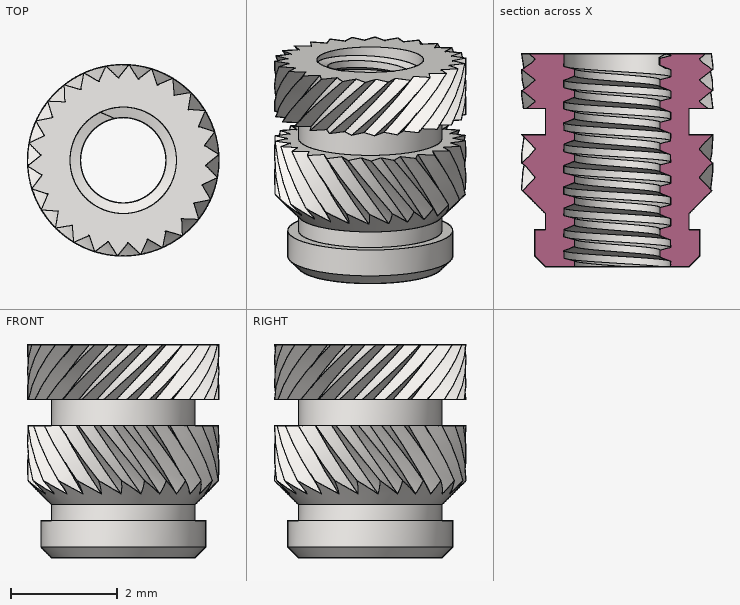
import cadquery as cq
import math

total_height = 4.0
pilot_chamfer = 0.2
pilot_top = 0.7
lower_knurl_bottom = 1.0
lower_knurl_top = 2.48
upper_knurl_bottom = 2.97

knurl_radius = 1.8
knurl_root_radius = 1.55
neck_radius = 1.35
pilot_radius = 1.55

tooth_count = 26
tooth_pitch = 360 / tooth_count
upper_knurl_twist = 36.0
lower_knurl_twist = -38.3
upper_knurl_top_tip_angle = tooth_pitch / 4
lower_knurl_top_tip_angle = tooth_pitch / 2

thread_major_radius = 1.0
thread_minor_radius = 0.8
thread_pitch = 0.4
thread_crest_width = thread_pitch / 3
thread_base_width = 2 * thread_pitch / 3
thread_embed = 0.03
thread_turns = 11

thread_end_gap = 0.005
thread_end_base_angle = 115.6
thread_end_crest_angle = 101.5


def polar(radius, angle):
    """Horizontal vector at an angle in degrees, counterclockwise from +X."""
    return cq.Vector(
        radius * math.cos(math.radians(angle)),
        radius * math.sin(math.radians(angle)),
        0,
    )


def core():
    """Pilot with its chamfered end, and the neck that carries the knurled bands."""
    profile = [
        (0, 0),
        (pilot_radius - pilot_chamfer, 0),
        (pilot_radius, pilot_chamfer),
        (pilot_radius, pilot_top),
        (neck_radius, pilot_top),
        (neck_radius, total_height),
        (0, total_height),
    ]
    return cq.Workplane("XZ").polyline(profile).close().revolve(360, (0, 0), (0, 1))


def knurled_band(bottom, top, twist, top_tip_angle):
    """Star-shaped section of sharp teeth, twisted as it rises."""
    bottom_tip_angle = top_tip_angle - twist
    star = []
    for tooth in range(tooth_count):
        tip_angle = bottom_tip_angle + tooth * tooth_pitch
        star.append(polar(knurl_radius, tip_angle).toTuple()[:2])
        star.append(polar(knurl_root_radius, tip_angle + tooth_pitch / 2).toTuple()[:2])
    section = cq.Workplane("XY").workplane(offset=bottom).polyline(star).close()
    return section.twistExtrude(top - bottom, twist)


def lead_in_cone():
    """45 degree cone, opening upward from the neck, that trims the lower teeth."""
    rise = lower_knurl_top - lower_knurl_bottom
    profile = [
        (0, lower_knurl_bottom),
        (neck_radius, lower_knurl_bottom),
        (neck_radius + rise, lower_knurl_top),
        (0, lower_knurl_top),
    ]
    return cq.Workplane("XZ").polyline(profile).close().revolve(360, (0, 0), (0, 1))


def thread_ridge():
    """Right-hand helical ridge, clipped to the height of the part."""
    ridge_height = thread_turns * thread_pitch
    start_z = total_height - thread_end_gap - thread_base_width / 2 - ridge_height
    base_point = polar(thread_major_radius, thread_end_base_angle)
    crest_point = polar(thread_minor_radius, thread_end_crest_angle)
    outward = base_point - crest_point
    depth = outward.Length
    flank_slope = (thread_base_width - thread_crest_width) / 2 / depth
    half_crest = thread_crest_width / 2
    half_root = thread_base_width / 2 + thread_embed * flank_slope

    end_plane = cq.Plane(
        origin=(crest_point + cq.Vector(0, 0, start_z)).toTuple(),
        xDir=outward.toTuple(),
        normal=outward.cross(cq.Vector(0, 0, 1)).toTuple(),
    )
    helix = cq.Wire.makeHelix(thread_pitch, ridge_height, thread_major_radius)
    helix = helix.rotate(cq.Vector(0, 0, 0), cq.Vector(0, 0, 1), thread_end_base_angle)
    helix = helix.translate(cq.Vector(0, 0, start_z))
    section = [
        (0, -half_crest),
        (depth + thread_embed, -half_root),
        (depth + thread_embed, half_root),
        (0, half_crest),
    ]
    ridge = cq.Workplane(end_plane).polyline(section).close()
    ridge = ridge.sweep(cq.Workplane(helix), isFrenet=True)
    envelope = cq.Workplane("XY").circle(knurl_radius).extrude(total_height)
    return ridge.intersect(envelope)


upper_band = knurled_band(
    upper_knurl_bottom, total_height, upper_knurl_twist, upper_knurl_top_tip_angle
)
lower_band = knurled_band(
    lower_knurl_bottom, lower_knurl_top, lower_knurl_twist, lower_knurl_top_tip_angle
).intersect(lead_in_cone())
bore = cq.Workplane("XY").circle(thread_major_radius).extrude(total_height)
threaded_hole = bore.cut(thread_ridge())

insert = core().union(upper_band).union(lower_band).cut(threaded_hole)
result = cq.Workplane(insert.solids().val())